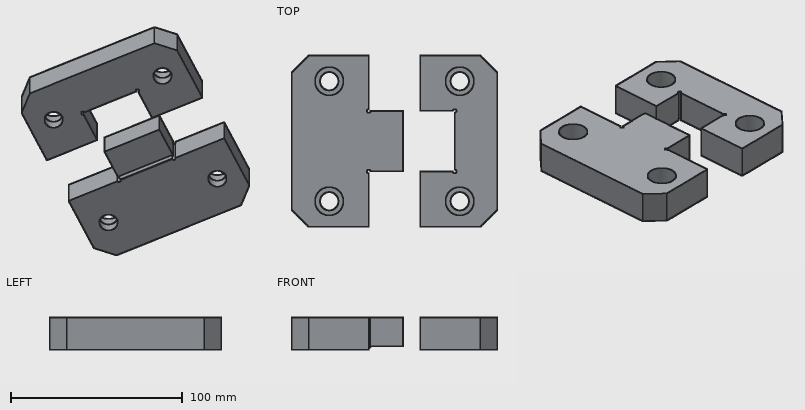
import cadquery as cq

overall_length = 120.0
width = 100.0
thickness = 19.0
corner_chamfer = 10.0

plate_length = 45.0
tongue_length = 20.0
tongue_width = 35.3
tongue_underside = 2.2
root_bevel = 1.5
relief_radius = 1.0

hole_diameter = 10.5
counterbore_diameter = 16.5
counterbore_depth = 12.0
hole_spacing = 70.0
tongue_plate_hole_x = 22.0
slot_plate_hole_x = 98.0

slot_plate_start = overall_length - plate_length
slot_floor = slot_plate_start + tongue_length
tongue_tip = plate_length + tongue_length


def block(x_start, x_end, y_size, z_start=0.0):
    """Box centred on Y, from z_start to the top face."""
    return (
        cq.Workplane("XY")
        .box(x_end - x_start, y_size, thickness - z_start, centered=(False, True, False))
        .translate((x_start, 0, z_start))
    )


def screw_holes(plate, x):
    """Counterbored holes, sunk from the top face."""
    return (
        plate.faces(">Z")
        .workplane(origin=(0, 0, thickness))
        .pushPoints([(x, side * hole_spacing / 2) for side in (-1, 1)])
        .cboreHole(hole_diameter, counterbore_diameter, counterbore_depth)
    )


def corner_reliefs(x):
    """Round reliefs at the two inner corners."""
    return (
        cq.Workplane("XY")
        .pushPoints([(x, side * tongue_width / 2) for side in (-1, 1)])
        .circle(relief_radius)
        .extrude(thickness)
    )


def make_tongue_plate():
    plate = block(0, plate_length, width).edges("|Z and <X").chamfer(corner_chamfer)
    tongue = block(plate_length, tongue_tip, tongue_width, tongue_underside)
    bevel = (
        cq.Workplane("XZ")
        .moveTo(plate_length, tongue_underside)
        .lineTo(plate_length + root_bevel, tongue_underside)
        .lineTo(plate_length, tongue_underside - root_bevel)
        .close()
        .extrude(tongue_width / 2, both=True)
    )
    plate = plate.union(tongue).union(bevel).cut(corner_reliefs(plate_length))
    return screw_holes(plate, tongue_plate_hole_x)


def make_slot_plate():
    plate = block(slot_plate_start, overall_length, width).edges("|Z and >X").chamfer(corner_chamfer)
    slot = block(slot_plate_start, slot_floor, tongue_width)
    plate = plate.cut(slot).cut(corner_reliefs(slot_floor))
    return screw_holes(plate, slot_plate_hole_x)


tongue_plate = make_tongue_plate()
slot_plate = make_slot_plate()

result = cq.Compound.makeCompound([tongue_plate.val(), slot_plate.val()])